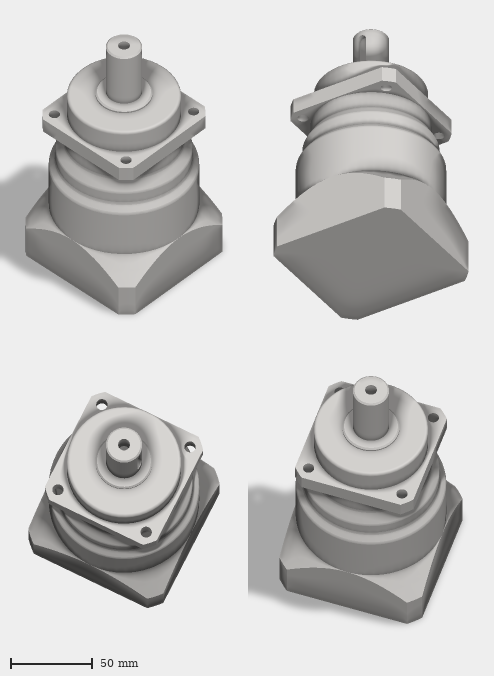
import cadquery as cq
import math

TOTAL_HEIGHT = 168.0
CORNER_TOP = 22.3
BASE_TOP = 37.3
BODY_TOP = 70.4
COLLAR_BOTTOM = 75.6
COLLAR_TOP = 84.2
NECK_BOTTOM = 91.9
FLANGE_BOTTOM = 102.0
FLANGE_TOP = 112.0
PILOT_TOP = 128.0
SEAL_TOP = 130.0

BASE_SIDE = 92.0
BASE_CORNER_DIAMETER = 120.3

BODY_RADIUS = BASE_SIDE / 2
COLLAR_RADIUS = 42.0
NECK_RADIUS = 37.1
PILOT_RADIUS = 35.0
PILOT_FILLET = 2.0
SEAL_RADIUS = 17.5
SEAL_CHAMFER = 1.0
CONE_FILLET = 3.0

FLANGE_SIDE = 76.3
FLANGE_CORNER_DIAMETER = 99.5
BOLT_SPACING = 60.1
BOLT_HOLE_DIAMETER = 6.9

SHAFT_RADIUS = 11.1
SHAFT_CHAMFER = 1.0
CENTRE_HOLE_DIAMETER = 7.2
CENTRE_HOLE_DEPTH = 16.8
DRILL_POINT_ANGLE = 118.0
KEYWAY_WIDTH = 6.0
KEYWAY_LENGTH = 28.0
KEYWAY_DEPTH = 3.5
KEYWAY_TOP_GAP = 4.2

RIM_MARGIN = 0.2


def disc(radius, bottom, top):
    return cq.Workplane("XY").workplane(offset=bottom).circle(radius).extrude(top - bottom)


def turned_square(side, corner_diameter, bottom, top):
    """Square plate whose corners are turned down to a common diameter."""
    plate = cq.Workplane("XY").workplane(offset=bottom).rect(side, side).extrude(top - bottom)
    return plate.intersect(disc(corner_diameter / 2, bottom, top))


def make_base():
    """Square base whose top slopes down as a cone from the body to the corners."""
    corner_radius = BASE_CORNER_DIAMETER / 2
    envelope = (
        cq.Workplane("XZ")
        .moveTo(0, 0)
        .lineTo(corner_radius, 0)
        .lineTo(corner_radius, CORNER_TOP)
        .lineTo(BODY_RADIUS, BASE_TOP)
        .lineTo(0, BASE_TOP)
        .close()
        .revolve(360, (0, 0, 0), (0, 1, 0))
    )
    block = cq.Workplane("XY").rect(BASE_SIDE, BASE_SIDE).extrude(BASE_TOP)
    return block.intersect(envelope)


def rim(radius, height):
    """Selector for the circular edge of a turned step."""
    reach = radius + RIM_MARGIN
    return cq.selectors.BoxSelector(
        (-reach, -reach, height - RIM_MARGIN),
        (reach, reach, height + RIM_MARGIN),
        boundingbox=True,
    )


def make_housing():
    """Turned housing: body, collar and neck joined by two rounded cones."""
    housing = (
        cq.Workplane("XZ")
        .moveTo(0, BASE_TOP)
        .lineTo(BODY_RADIUS, BASE_TOP)
        .lineTo(BODY_RADIUS, BODY_TOP)
        .lineTo(COLLAR_RADIUS, COLLAR_BOTTOM)
        .lineTo(COLLAR_RADIUS, COLLAR_TOP)
        .lineTo(NECK_RADIUS, NECK_BOTTOM)
        .lineTo(NECK_RADIUS, FLANGE_BOTTOM)
        .lineTo(0, FLANGE_BOTTOM)
        .close()
        .revolve(360, (0, 0, 0), (0, 1, 0))
    )
    cone_ends = (
        (BODY_RADIUS, BODY_TOP),
        (COLLAR_RADIUS, COLLAR_BOTTOM),
        (COLLAR_RADIUS, COLLAR_TOP),
        (NECK_RADIUS, NECK_BOTTOM),
    )
    for radius, height in cone_ends:
        housing = housing.edges(rim(radius, height)).fillet(CONE_FILLET)
    return housing


def make_flange():
    """Mounting flange with four bolt holes."""
    flange = turned_square(FLANGE_SIDE, FLANGE_CORNER_DIAMETER, FLANGE_BOTTOM, FLANGE_TOP)
    return (
        flange.faces(">Z")
        .workplane(origin=(0, 0, FLANGE_TOP))
        .rect(BOLT_SPACING, BOLT_SPACING, forConstruction=True)
        .vertices()
        .hole(BOLT_HOLE_DIAMETER)
    )


def make_shaft():
    """Shaft with a chamfered end, a drilled centre hole and a keyway on the +Y side."""
    shaft = disc(SHAFT_RADIUS, SEAL_TOP, TOTAL_HEIGHT).faces(">Z").edges().chamfer(SHAFT_CHAMFER)

    hole_radius = CENTRE_HOLE_DIAMETER / 2
    hole_bottom = TOTAL_HEIGHT - CENTRE_HOLE_DEPTH
    point_depth = hole_radius / math.tan(math.radians(DRILL_POINT_ANGLE / 2))
    centre_hole = (
        cq.Workplane("XZ")
        .moveTo(0, TOTAL_HEIGHT)
        .lineTo(hole_radius, TOTAL_HEIGHT)
        .lineTo(hole_radius, hole_bottom)
        .lineTo(0, hole_bottom - point_depth)
        .close()
        .revolve(360, (0, 0, 0), (0, 1, 0))
    )

    keyway_centre = TOTAL_HEIGHT - KEYWAY_TOP_GAP - KEYWAY_LENGTH / 2
    keyway = (
        cq.Workplane("XZ", origin=(0, SHAFT_RADIUS, keyway_centre))
        .slot2D(KEYWAY_LENGTH, KEYWAY_WIDTH, 90)
        .extrude(KEYWAY_DEPTH)
    )
    return shaft.cut(centre_hole).cut(keyway)


pilot = disc(PILOT_RADIUS, FLANGE_TOP, PILOT_TOP).faces(">Z").edges().fillet(PILOT_FILLET)
seal = disc(SEAL_RADIUS, PILOT_TOP, SEAL_TOP).faces(">Z").edges().chamfer(SEAL_CHAMFER)

result = make_base()
for section in (make_housing(), make_flange(), pilot, seal, make_shaft()):
    result = result.union(section)